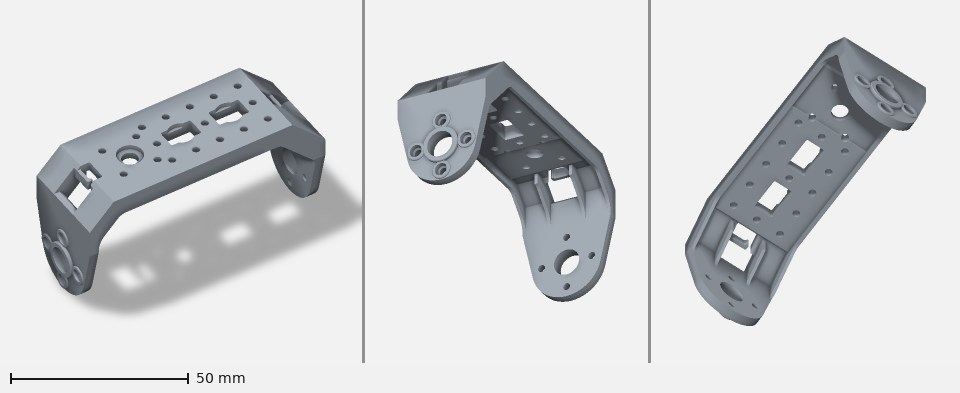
import cadquery as cq
import math

WIDTH = 28.0
LENGTH = 80.5
HEIGHT = 40.0
HUB_HEIGHT = 1.05
BODY_END = LENGTH / 2 - HUB_HEIGHT
LEG_THICKNESS = 3.0
PLATE_THICKNESS = 6.0
FRONT_BEVEL = 8.0
BACK_BEVEL = 10.95
FRONT_INNER_BEVEL = 16.5
BACK_INNER_BEVEL = 20.9
INNER_RADIUS = 3.7
FRONT_LEG_RADIUS = 7.25

LEG_RADIUS = 11.0
PIVOT_Z = LEG_RADIUS - HEIGHT
TAPER_START_Z = -17.0
PIVOT_BORE = 8.0
HUB_DIAMETER = 11.0
SCREW_PITCH = 8.0
SCREW_BOSS_DIAMETER = 5.7
SCREW_BOSS_HEIGHT = 0.5
SCREW_RECESS_DIAMETER = 3.8
SCREW_RECESS_DEPTH = 1.5
SCREW_HOLE = 2.2
BOSS_CHAMFER = 0.2

GRID_HOLE_CHAMFER = 0.2
WINDOW_WIDTH = 6.0
WINDOW_LENGTH = 10.0
CORNER_RADIUS = 0.5
COUNTERBORE_DIAMETER = 8.0
COUNTERBORE_DEPTH = 1.5
HORN_Y = -17.0
HORN_BORE = 5.0

PASSAGE_WIDTH = 10.0
PASSAGE_DEPTH = 6.8
SLOT_WIDTH = 7.0
SLOT_DEPTH = 10.95
SHELL = 3.0
SILL_CHAMFER = 1.05
HOOK_END_X = 2.1
HOOK_ROOT = 0.25
HOOK_THICKNESS = 1.1
HOOK_BUMP_WIDTH = 1.3
HOOK_BUMP_HEIGHT = 0.7
HOOK_BUMP_RADIUS = 0.44

WALL_THICKNESS = 1.0
CHANNEL_DEPTH = 4.4
HORN_CHANNEL_DEPTH = 3.6
HORN_CHANNEL_END = -11.3
END_POCKET_MARGIN = 1.0
END_POCKET_DEPTH = SLOT_DEPTH + END_POCKET_MARGIN

EPS = 0.8


def box(x_range, y_range, z_range):
    """Box between two values on each axis."""
    size = [high - low for low, high in (x_range, y_range, z_range)]
    return cq.Workplane("XY").box(*size, centered=False).translate((x_range[0], y_range[0], z_range[0]))


def side_profile(points, width):
    """Y-Z outline extruded symmetrically about X = 0."""
    return cq.Workplane("YZ").polyline(points).close().extrude(width / 2, both=True)


def bridge():
    """Solid U-shaped body with bevelled shoulders and rounded inner corners."""
    inner_end = BODY_END - LEG_THICKNESS
    front_leg_corner = (-inner_end, LEG_THICKNESS - FRONT_INNER_BEVEL)
    front_plate_corner = (FRONT_INNER_BEVEL - PLATE_THICKNESS - BODY_END, -PLATE_THICKNESS)
    back_plate_corner = (BODY_END - BACK_INNER_BEVEL + PLATE_THICKNESS, -PLATE_THICKNESS)
    back_leg_corner = (inner_end, LEG_THICKNESS - BACK_INNER_BEVEL)
    body = side_profile([
        (-BODY_END, -HEIGHT),
        (-BODY_END, -FRONT_BEVEL),
        (FRONT_BEVEL - BODY_END, 0),
        (BODY_END - BACK_BEVEL, 0),
        (BODY_END, -BACK_BEVEL),
        (BODY_END, -HEIGHT),
        (inner_end, -HEIGHT),
        back_leg_corner,
        back_plate_corner,
        front_plate_corner,
        front_leg_corner,
        (-inner_end, -HEIGHT),
    ], WIDTH)
    rounded = [
        (front_leg_corner, FRONT_LEG_RADIUS),
        (front_plate_corner, INNER_RADIUS),
        (back_plate_corner, INNER_RADIUS),
        (back_leg_corner, INNER_RADIUS),
    ]
    for (y, z), radius in rounded:
        body = body.edges(cq.selectors.NearestToPointSelector((0, y, z))).fillet(radius)
    return body.intersect(end_outline())


def end_outline():
    """Outline seen along Y: square shoulders tapering tangentially into a round foot."""
    half = WIDTH / 2
    rise = TAPER_START_Z - PIVOT_Z
    swing = math.atan2(rise, half) - math.acos(LEG_RADIUS / math.hypot(half, rise))
    tangent_x = LEG_RADIUS * math.cos(swing)
    tangent_z = PIVOT_Z + LEG_RADIUS * math.sin(swing)
    return (
        cq.Workplane("XZ")
        .moveTo(-half, 0)
        .lineTo(half, 0)
        .lineTo(half, TAPER_START_Z)
        .lineTo(tangent_x, tangent_z)
        .threePointArc((0, -HEIGHT), (-tangent_x, tangent_z))
        .lineTo(-half, TAPER_START_Z)
        .close()
        .extrude(LENGTH / 2, both=True)
    )


def leg_cylinder(x, z, diameter, start, end):
    """Cylinder along Y between two distances from the middle, on the +Y side."""
    plane = cq.Workplane("XZ", origin=(x, start, z))
    return plane.circle(diameter / 2).extrude(start - end)


def both_ends(shape):
    """The shape together with its mirror image across Y = 0."""
    return shape.union(shape.mirror("XZ"))


def add_pivot(body):
    """Bearing hub and four recessed screw bosses on the outside of each leg."""
    boss_face = BODY_END + SCREW_BOSS_HEIGHT
    inner_start = BODY_END - LEG_THICKNESS - EPS
    screws = [
        (SCREW_PITCH * math.cos(k * math.pi / 2), PIVOT_Z + SCREW_PITCH * math.sin(k * math.pi / 2))
        for k in range(4)
    ]
    root = BODY_END - LEG_THICKNESS / 2
    raised = leg_cylinder(0, PIVOT_Z, HUB_DIAMETER, root, LENGTH / 2).faces(">Y").chamfer(BOSS_CHAMFER)
    bores = leg_cylinder(0, PIVOT_Z, PIVOT_BORE, inner_start, LENGTH / 2 + EPS)
    for x, z in screws:
        boss = leg_cylinder(x, z, SCREW_BOSS_DIAMETER, root, boss_face)
        raised = raised.union(boss.faces(">Y").chamfer(BOSS_CHAMFER))
        bores = bores.union(leg_cylinder(x, z, SCREW_HOLE, inner_start, boss_face + EPS))
        recess_floor = boss_face - SCREW_RECESS_DEPTH
        bores = bores.union(leg_cylinder(x, z, SCREW_RECESS_DIAMETER, recess_floor, boss_face + EPS))
    return body.union(both_ends(raised)).cut(both_ends(bores))


def hollow():
    """Space under the plate, split at both ends by ribs along the sides of the passage."""
    wall = BODY_END - LEG_THICKNESS
    front_pocket = END_POCKET_DEPTH - BODY_END
    back_pocket = BODY_END - END_POCKET_DEPTH
    space = side_profile([
        (-wall, -HEIGHT),
        (-wall, LEG_THICKNESS - FRONT_BEVEL - SHELL),
        (FRONT_BEVEL - BODY_END, -SHELL),
        (front_pocket, -SHELL),
        (front_pocket + HORN_CHANNEL_DEPTH - SHELL, -HORN_CHANNEL_DEPTH),
        (HORN_CHANNEL_END, -HORN_CHANNEL_DEPTH),
        (HORN_CHANNEL_END, -CHANNEL_DEPTH),
        (back_pocket, -CHANNEL_DEPTH),
        (back_pocket, -SHELL),
        (BODY_END - BACK_BEVEL, -SHELL),
        (wall, LEG_THICKNESS - BACK_BEVEL - SHELL),
        (wall, -HEIGHT),
    ], WIDTH - 2 * WALL_THICKNESS)
    rib_start = PASSAGE_WIDTH / 2
    for x in (-rib_start - WALL_THICKNESS, rib_start):
        rib = box((x, x + WALL_THICKNESS), (BODY_END - SLOT_DEPTH, BODY_END), (-HEIGHT, 0))
        space = space.cut(both_ends(rib))
    return space


def hook(bevel):
    """Spring hook across the slot at the +Y end, with a rounded bump at its free tip."""
    outer = BODY_END - PASSAGE_DEPTH
    inner = outer - HOOK_THICKNESS
    bump_start = HOOK_END_X - HOOK_BUMP_WIDTH
    bump_end = inner - HOOK_BUMP_HEIGHT
    top = PASSAGE_DEPTH - bevel
    tip_radius = HOOK_BUMP_RADIUS
    root_x = -SLOT_WIDTH / 2
    root_sag = CORNER_RADIUS * (1 - math.sqrt(0.5))
    return (
        cq.Workplane("XY", origin=(0, 0, top - SHELL))
        .moveTo(root_x - HOOK_ROOT, outer)
        .lineTo(HOOK_END_X, outer)
        .lineTo(HOOK_END_X, bump_end + tip_radius)
        .threePointArc((HOOK_END_X - tip_radius, bump_end), (HOOK_END_X - 2 * tip_radius, bump_end + tip_radius))
        .lineTo(bump_start, inner)
        .lineTo(root_x + CORNER_RADIUS, inner)
        .threePointArc((root_x + root_sag, inner - root_sag), (root_x, inner - CORNER_RADIUS))
        .lineTo(root_x - HOOK_ROOT, inner - CORNER_RADIUS)
        .close()
        .extrude(SHELL)
        .edges("|Z and >X and >Y")
        .fillet(CORNER_RADIUS)
    )


def passage(bevel):
    """Opening through the bevel at the +Y end: wide outside, narrower behind the hook."""
    hook_face = BODY_END - PASSAGE_DEPTH
    leg_inside = BODY_END - LEG_THICKNESS
    opening = side_profile([
        (hook_face, EPS),
        (BODY_END + EPS, EPS),
        (BODY_END + EPS, -bevel),
        (leg_inside + SILL_CHAMFER, -bevel),
        (leg_inside, -bevel - SILL_CHAMFER),
        (leg_inside, -HEIGHT),
        (hook_face, -HEIGHT),
    ], PASSAGE_WIDTH)
    slot = box(
        (-SLOT_WIDTH / 2, SLOT_WIDTH / 2),
        (BODY_END - SLOT_DEPTH, hook_face + EPS),
        (-HEIGHT, EPS),
    )
    slot = slot.edges("|Z and <Y").fillet(CORNER_RADIUS)
    mouth = cq.selectors.NearestToPointSelector((SLOT_WIDTH / 2, hook_face, -HEIGHT / 2))
    return opening.union(slot).edges("|Z").edges(mouth).fillet(CORNER_RADIUS)


def through_plate(points, diameter):
    """Vertical cylinders through the plate."""
    plane = cq.Workplane("XY", origin=(0, 0, EPS))
    return plane.pushPoints(points).circle(diameter / 2).extrude(-PLATE_THICKNESS - 2 * EPS)


def plate_holes(body):
    """Grid of small holes, two windows and the horn seat with its four holes."""
    grid = [
        (column * SCREW_PITCH, row * SCREW_PITCH)
        for row in range(-1, 4)
        for column in (-1, 0, 1)
        if column != 0 or row % 2 == 1
    ]
    diagonal = SCREW_PITCH * math.sqrt(0.5)
    horn_holes = [(sx * diagonal, HORN_Y + sy * diagonal) for sx in (-1, 1) for sy in (-1, 1)]
    windows = [(0, 0), (0, 2 * SCREW_PITCH)]

    body = body.cut(through_plate(grid + horn_holes, SCREW_HOLE))
    for x, y in grid + horn_holes:
        rim = SCREW_HOLE / 2 + GRID_HOLE_CHAMFER
        countersink = cq.Solid.makeCone(rim, 0, rim, cq.Vector(x, y, 0), cq.Vector(0, 0, -1))
        body = body.cut(cq.Workplane(countersink))

    openings = (
        cq.Workplane("XY", origin=(0, 0, EPS))
        .pushPoints(windows)
        .rect(WINDOW_WIDTH, WINDOW_LENGTH)
        .extrude(-PLATE_THICKNESS - 2 * EPS)
        .edges("|Z")
        .fillet(CORNER_RADIUS)
    )
    seats = (
        cq.Workplane("XY")
        .pushPoints(windows + [(0, HORN_Y)])
        .circle(COUNTERBORE_DIAMETER / 2)
        .extrude(-COUNTERBORE_DEPTH)
    )
    return body.cut(openings).cut(seats).cut(through_plate([(0, HORN_Y)], HORN_BORE))


result = bridge().cut(hollow())
result = result.cut(passage(BACK_BEVEL)).cut(passage(FRONT_BEVEL).mirror("XZ"))
result = result.union(hook(BACK_BEVEL)).union(hook(FRONT_BEVEL).mirror("XZ"))
result = add_pivot(plate_holes(result))